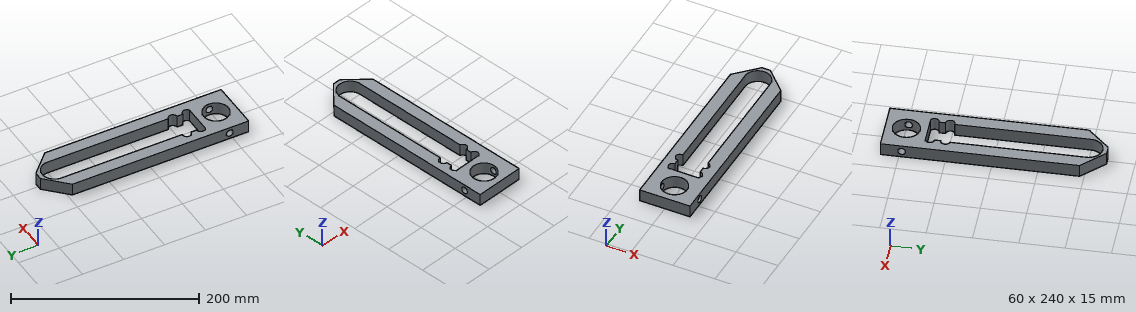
import cadquery as cq

length = 240.0
width = length / 4
thickness = length / 16
tip_bevel = 25.0

slot_width = width / 2
slot_end_y = length - 5.0
slot_floor_y = 46.0

seat_x = -1.0
seat_width = slot_width
notch_radius = 5.0
lower_notch_y = 50.6
notch_spacing = 17.0
upper_notch_y = lower_notch_y + notch_spacing

bore_diameter = width / 2
bore_y = 23.0
cross_hole_diameter = 8.2


def make_bar():
    bar = cq.Workplane("XY").box(width, length, thickness, centered=(True, False, False))
    return bar.edges("|Z and >Y").chamfer(tip_bevel)


def block(x, size_x, y_start, y_end):
    """Full-thickness block centred on x, from y_start to y_end."""
    size_y = y_end - y_start
    base = cq.Workplane("XY").center(x, y_start + size_y / 2)
    return base.rect(size_x, size_y).extrude(thickness)


def cylinder(x, y, radius):
    """Full-thickness upright cylinder."""
    return cq.Workplane("XY").center(x, y).circle(radius).extrude(thickness)


def make_slot():
    round_centre_y = slot_end_y - slot_width / 2
    slot = block(0, slot_width, upper_notch_y, round_centre_y)
    return slot.union(cylinder(0, round_centre_y, slot_width / 2))


def make_seat():
    seat = block(seat_x, seat_width, slot_floor_y, upper_notch_y)
    for side in (-1, 1):
        for notch_y in (lower_notch_y, upper_notch_y):
            notch = cylinder(seat_x + side * seat_width / 2, notch_y, notch_radius)
            seat = seat.union(notch)
    return seat.intersect(block(0, width, slot_floor_y, length))


def make_cross_hole():
    side_plane = cq.Workplane("YZ").center(bore_y, thickness / 2)
    return side_plane.circle(cross_hole_diameter / 2).extrude(width / 2, both=True)


result = (
    make_bar()
    .cut(make_slot())
    .cut(make_seat())
    .cut(cylinder(0, bore_y, bore_diameter / 2))
    .cut(make_cross_hole())
)